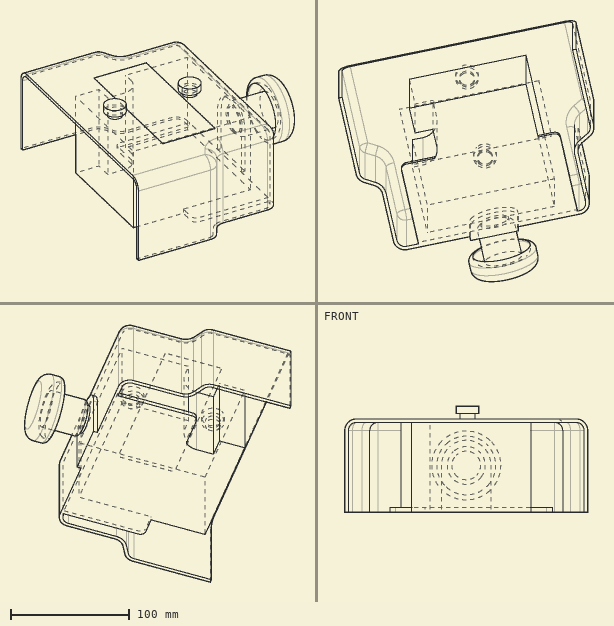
import cadquery as cq
import math


cover_width = 205.0
cover_depth = 144.3
cover_height = 79.0
narrow_width = 169.0
narrow_front_y = 91.5
shoulder_slope = 30.0
edge_radius = 10.0
wall = 3.0

label_width = 120.1
label_depth = 50.5
label_center_y = 72.2
label_recess = 0.2

screw_x = 1.0
screw_ys = (33.5, 105.4)
screw_top_z = 89.5
screw_head_height = 6.4
screw_head_diameter = 19.3
screw_shank_diameter = 12.7

block_left_x = -46.1
block_right_x = 54.5
block_front_y = 21.5
block_front_depth = 22.5
waist_left_x = -30.8
waist_radius = 15.4
rear_left_x = -55.1
rear_front_y = 74.8

foot_left_x = -64.4
foot_right_x = 72.8
foot_front_y = 69.7
foot_height = 4.0
foot_corner_radius = 5.0

arch_diameter = 41.5
arch_axis_z = 40.2
arch_thickness = 3.5

knob_axis_z = 39.5
knob_end_y = 194.3
neck_diameter = 24.2
neck_length = 2.0
hub_diameter = 32.0
hub_radius = 3.7
head_diameter = 58.2
head_length = 19.3
head_end_radius = 8.2
head_rim_radius = 4.0
recess_diameter = 49.6
recess_depth = 7.4
recess_radius = 6.2

ceiling_z = cover_height - wall
back_wall_y = cover_depth - wall
rear_back_y = cover_depth - edge_radius


def make_cover():
    """Stepped hood with rounded walls, open at the front and underneath."""
    wide_x = cover_width / 2
    narrow_x = narrow_width / 2
    slope = math.radians(shoulder_slope)
    bend_y = narrow_front_y - edge_radius * math.tan((math.pi / 2 - slope) / 2)
    corner_y = bend_y - (wide_x - narrow_x) * math.tan(slope)
    right_side = [
        (wide_x, 0),
        (wide_x, corner_y),
        (narrow_x, bend_y),
        (narrow_x, cover_depth),
    ]
    left_side = [(-x, y) for x, y in reversed(right_side)]
    body = cq.Workplane("XY").polyline(right_side + left_side).close().extrude(cover_height)
    body = body.edges("|Z and (not <Y)").fillet(edge_radius)
    body = body.faces(">Z").edges("not <Y").fillet(edge_radius)
    return body.faces("<Z or <Y").shell(-wall)


def make_label_recess():
    """Material removed from the top of the cover to seat the label."""
    return (
        cq.Workplane("XY", origin=(0, label_center_y, cover_height - label_recess))
        .rect(label_width, label_depth)
        .extrude(label_recess)
    )


def make_screw(y):
    """Thumb screw: a flat head on a thinner shank through the cover."""
    head_z = screw_top_z - screw_head_height
    shank = (
        cq.Workplane("XY", origin=(screw_x, y, ceiling_z))
        .circle(screw_shank_diameter / 2)
        .extrude(head_z - ceiling_z)
    )
    return shank.faces(">Z").workplane().circle(screw_head_diameter / 2).extrude(screw_head_height)


def make_switch_block():
    """Front block and wider rear block, joined by a waist with a hollow left corner."""
    front_back_y = block_front_y + block_front_depth
    outline = (
        cq.Workplane("XY")
        .moveTo(block_left_x, block_front_y)
        .lineTo(block_right_x, block_front_y)
        .lineTo(block_right_x, rear_back_y)
        .lineTo(rear_left_x, rear_back_y)
        .lineTo(rear_left_x, rear_front_y)
        .lineTo(waist_left_x - waist_radius, rear_front_y)
        .radiusArc((waist_left_x, rear_front_y - waist_radius), waist_radius)
        .lineTo(waist_left_x, front_back_y)
        .lineTo(block_left_x, front_back_y)
        .close()
    )
    return outline.extrude(ceiling_z)


def make_foot():
    """Flat foot under the rear block, rounded at its two front corners."""
    foot = cq.Workplane("XY", origin=(foot_left_x, foot_front_y, 0)).box(
        foot_right_x - foot_left_x, back_wall_y - foot_front_y, foot_height, centered=False
    )
    return foot.edges("|Z and <Y").fillet(foot_corner_radius)


def make_arched_plate():
    """Plate on the outside of the back wall with straight sides and a round top."""
    radius = arch_diameter / 2
    return (
        cq.Workplane("XZ", origin=(0, cover_depth + arch_thickness, 0))
        .moveTo(-radius, 0)
        .lineTo(radius, 0)
        .lineTo(radius, arch_axis_z)
        .threePointArc((0, arch_axis_z + radius), (-radius, arch_axis_z))
        .close()
        .extrude(arch_thickness)
    )


def disc(diameter, y_start, y_end):
    """Cylinder on the knob axis."""
    return (
        cq.Workplane("XZ", origin=(0, y_end, knob_axis_z))
        .circle(diameter / 2)
        .extrude(y_end - y_start)
    )


def make_knob():
    """Pull knob: neck, hub and a mushroom head hollowed around the hub."""
    neck_y = cover_depth + arch_thickness
    hub_y = neck_y + neck_length
    head_y = knob_end_y - head_length
    recess_y = head_y + recess_depth

    neck = disc(neck_diameter, neck_y, hub_y)
    hub = disc(hub_diameter, hub_y, recess_y).faces("<Y").edges().fillet(hub_radius)
    head = disc(head_diameter, head_y, knob_end_y)
    head = head.faces(">Y").edges().fillet(head_end_radius)
    head = head.faces("<Y").edges().fillet(head_rim_radius)
    recess = disc(recess_diameter, head_y, recess_y).faces(">Y").edges().fillet(recess_radius)
    return head.cut(recess).union(hub).union(neck)


result = make_cover().cut(make_label_recess())
for screw_y in screw_ys:
    result = result.union(make_screw(screw_y))
for part in (make_switch_block(), make_foot(), make_arched_plate(), make_knob()):
    result = result.union(part)